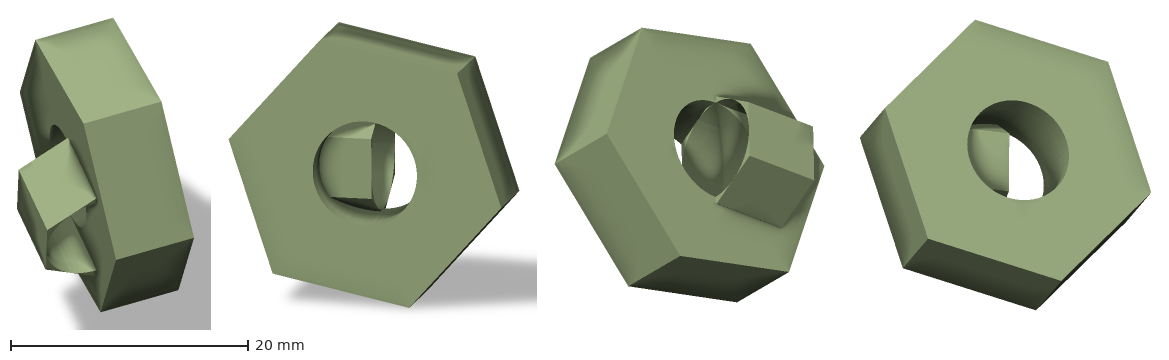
import cadquery as cq
import math

nut_width = 23.55
nut_turn = 11.5
nut_corner_radius = nut_width / 2 / math.cos(math.radians(nut_turn))
thickness = 7.0
bore_radius = 4.5

corner_count = 6
corner_step = 360 / corner_count
half_step = corner_step / 2
ring_corner_radius = bore_radius / math.cos(math.radians(half_step))
ring_turn = 1.7


def polar_point(radius, angle):
    """Point at a radius and an angle in degrees from the first sketch axis."""
    turn = math.radians(angle)
    return radius * math.cos(turn), radius * math.sin(turn)


def hexagon(radius, first_angle):
    """Corner points of a regular hexagon."""
    return [polar_point(radius, first_angle + i * corner_step) for i in range(corner_count)]


def ring_corner_angle(index):
    """Angle of a ring corner in the YZ plane, measured from +Y towards +Z."""
    return 90 - ring_turn + index * corner_step


def make_ring_corner(index):
    """One corner piece, between two neighbouring flats and the ring bore."""
    angle = ring_corner_angle(index)
    return (
        cq.Workplane("YZ")
        .moveTo(*polar_point(bore_radius, angle - half_step))
        .lineTo(*polar_point(ring_corner_radius, angle))
        .lineTo(*polar_point(bore_radius, angle + half_step))
        .threePointArc(polar_point(bore_radius, angle), polar_point(bore_radius, angle - half_step))
        .close()
        .extrude(thickness)
    )


def make_nut(corners):
    """Hexagonal nut with a through bore and recesses that hold the ring corners."""
    blank = cq.Workplane("XZ").polyline(hexagon(nut_corner_radius, nut_turn)).close().extrude(-thickness)
    bore = cq.Workplane("XZ").circle(bore_radius).extrude(-thickness)
    body = blank.cut(bore)
    for corner in corners:
        body = body.cut(corner)
    return body


ring_corners = [make_ring_corner(i) for i in range(corner_count)]
nut = make_nut(ring_corners)

result = cq.Compound.makeCompound([*nut.solids().vals(), *[corner.val() for corner in ring_corners]])